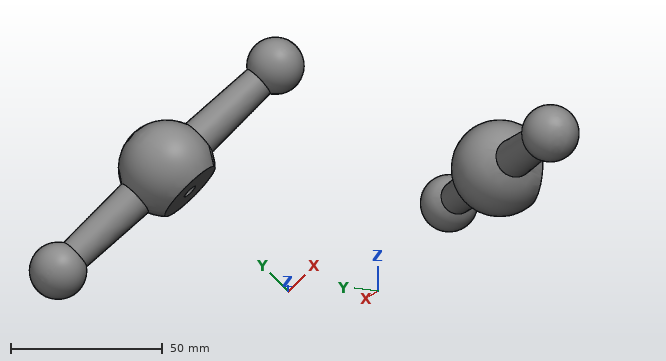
import cadquery as cq
import math

overall_length = 118.8
hub_diameter = 32.0
overall_depth = 27.0

ball_diameter = 19.0
arm_hub_diameter = 13.0
arm_ball_diameter = 11.0

hole_diameter = 5.0
hole_depth = 11.9
drill_tip_angle = 118.0

hub_radius = hub_diameter / 2
ball_radius = ball_diameter / 2
ball_offset = overall_length / 2 - ball_radius
flat_y = hub_radius - overall_depth


def sphere_reach(radius, circle_diameter):
    """Distance from a sphere's centre to its cross-section of the given diameter."""
    return (radius**2 - (circle_diameter / 2) ** 2) ** 0.5


def make_arm(side):
    """Tapered arm and end ball; side is +1 or -1 along X."""
    hub_end = sphere_reach(hub_radius, arm_hub_diameter)
    ball_end = ball_offset - sphere_reach(ball_radius, arm_ball_diameter)
    taper_slope = (arm_hub_diameter - arm_ball_diameter) / 2 / (ball_end - hub_end)

    root_radius = arm_hub_diameter / 2 + taper_slope * hub_end
    tip_radius = arm_ball_diameter / 2 - taper_slope * (ball_offset - ball_end)
    cone = cq.Workplane(
        cq.Solid.makeCone(
            root_radius, tip_radius, ball_offset, dir=cq.Vector(side, 0, 0)
        )
    )
    ball = cq.Workplane("XY").sphere(ball_radius).translate((side * ball_offset, 0, 0))
    return cone.union(ball)


body = cq.Workplane("XY").sphere(hub_radius)
for side in (-1, 1):
    body = body.union(make_arm(side))

flat_cut = cq.Workplane("XY").box(
    hub_diameter, hub_diameter, hub_diameter
).translate((0, flat_y - hub_diameter / 2, 0))
body = body.cut(flat_cut)

hole_radius = hole_diameter / 2
tip_length = hole_radius / math.tan(math.radians(drill_tip_angle / 2))
hole_end_y = flat_y + hole_depth
hole_profile = (
    cq.Workplane("XY")
    .moveTo(0, flat_y)
    .lineTo(hole_radius, flat_y)
    .lineTo(hole_radius, hole_end_y)
    .lineTo(0, hole_end_y + tip_length)
    .close()
)
hole = hole_profile.revolve(360, (0, 0, 0), (0, 1, 0))

result = body.cut(hole)